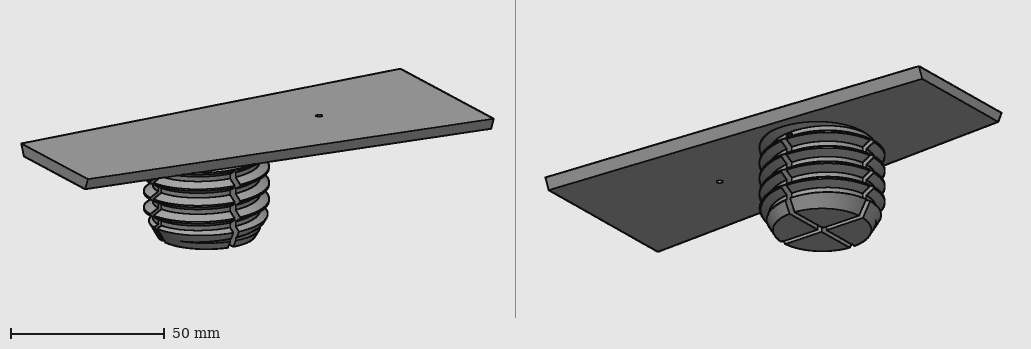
import cadquery as cq
import math


PLATE_LENGTH = 147.0
PLATE_THICKNESS = 4.0
BACK_WIDTH = 61.7
FRONT_WIDTH = 44.1
SIDE_INSET = 1.8
FRONT_TO_POST = 56.9

HOLE_DIAMETER = 2.0
HOLE_Y = 42.2

POST_LENGTH = 34.0 - PLATE_THICKNESS
ROOT_RADIUS = 17.5
CREST_RADIUS = 20.5
TIP_RADIUS = 16.0
TIP_HALF_ANGLE = 30.0

PITCH = 5.6
CREST_FLAT = 0.6
FLANK_ANGLE = 30.0
CREST_Z = -2.2
ROOT_OVERLAP = 0.6
CREST_CLEARANCE = 0.6
CORE_SEAM_ANGLE = 45.0
TURNS = math.ceil(POST_LENGTH / PITCH) + 2
THREAD_START_Z = CREST_Z - (TURNS - 1) * PITCH

SLOT_WIDTH = 2.0
SLOT_WEB = 2.0


def plate_outline(z, inset):
    """Trapezoid at height z, with both long sides moved in by inset."""
    front_y = -FRONT_TO_POST
    back_y = front_y + PLATE_LENGTH
    half_front = FRONT_WIDTH / 2 - inset
    half_back = BACK_WIDTH / 2 - inset
    return cq.Wire.makePolygon(
        [
            cq.Vector(-half_front, front_y, z),
            cq.Vector(half_front, front_y, z),
            cq.Vector(half_back, back_y, z),
            cq.Vector(-half_back, back_y, z),
        ],
        close=True,
    )


def make_plate():
    underside = plate_outline(0, SIDE_INSET)
    top_face = plate_outline(PLATE_THICKNESS, 0)
    plate = cq.Workplane(cq.Solid.makeLoft([underside, top_face], True))
    hole = cq.Workplane().center(0, HOLE_Y).circle(HOLE_DIAMETER / 2).extrude(PLATE_THICKNESS)
    return plate.cut(hole)


def make_thread():
    """Helical ridge that runs past both ends of the post."""
    inner_radius = ROOT_RADIUS - ROOT_OVERLAP
    half_crest = CREST_FLAT / 2
    flank_rise = (CREST_RADIUS - inner_radius) * math.tan(math.radians(FLANK_ANGLE))
    half_base = half_crest + flank_rise

    helix = cq.Wire.makeHelix(PITCH, TURNS * PITCH, ROOT_RADIUS, cq.Vector(0, 0, THREAD_START_Z))
    return (
        cq.Workplane("XZ")
        .moveTo(inner_radius, THREAD_START_Z - half_base)
        .lineTo(CREST_RADIUS, THREAD_START_Z - half_crest)
        .lineTo(CREST_RADIUS, THREAD_START_Z + half_crest)
        .lineTo(inner_radius, THREAD_START_Z + half_base)
        .close()
        .sweep(cq.Workplane(helix), isFrenet=True)
    )


def make_core():
    """Plain rod inside the thread, longer than the thread at both ends."""
    rod = (
        cq.Workplane(origin=(0, 0, THREAD_START_Z - PITCH))
        .circle(ROOT_RADIUS)
        .extrude((TURNS + 2) * PITCH)
    )
    return rod.rotate((0, 0, 0), (0, 0, 1), CORE_SEAM_ANGLE)


def make_envelope():
    """Room the finished post may fill: a cylinder clear of the crests with a lead-in cone below."""
    radius = CREST_RADIUS + CREST_CLEARANCE
    cone_height = (radius - TIP_RADIUS) / math.tan(math.radians(TIP_HALF_ANGLE))
    return (
        cq.Workplane("XZ")
        .lineTo(radius, 0)
        .lineTo(radius, cone_height - POST_LENGTH)
        .lineTo(TIP_RADIUS, -POST_LENGTH)
        .lineTo(0, -POST_LENGTH)
        .close()
        .revolve(360, (0, 0, 0), (0, 1, 0))
    )


def make_post():
    post = make_core().union(make_thread()).intersect(make_envelope())
    slot_length = 2 * CREST_RADIUS + SLOT_WIDTH
    slot_depth = POST_LENGTH - SLOT_WEB
    for size_x, size_y in ((slot_length, SLOT_WIDTH), (SLOT_WIDTH, slot_length)):
        slot = cq.Workplane(origin=(0, 0, -POST_LENGTH)).box(
            size_x, size_y, slot_depth, centered=(True, True, False)
        )
        post = post.cut(slot)
    return post


result = make_plate().union(make_post())